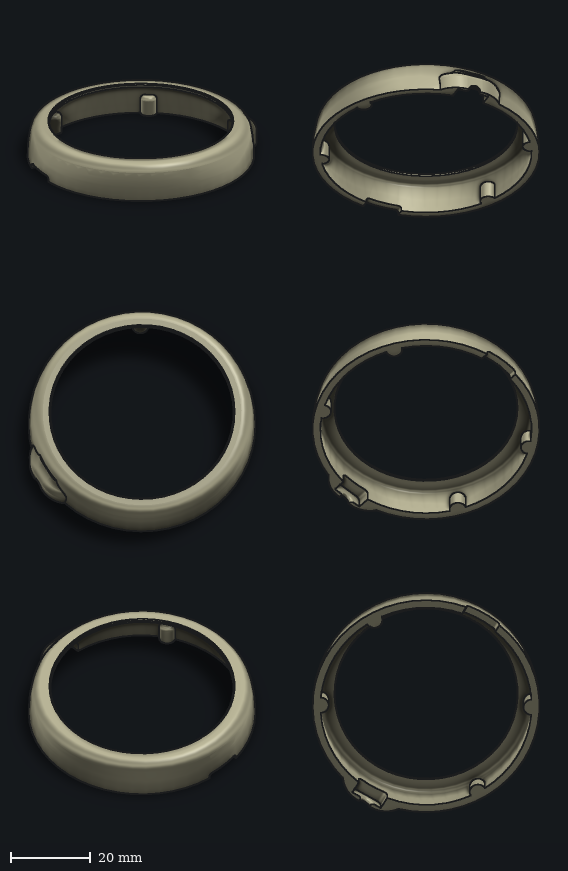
import cadquery as cq
import math

outer_radius = 28.525
height = 9.5
side_arc_radius = 32.45
edge_round = 2.8
wall_radius = 26.55
lip_radius = 23.0
lip_thickness = 0.9
lip_chamfer = 0.3
cavity_round = 1.2

boss_reach = 30.5
boss_flat_half = 2.05
boss_end_radius = 7.4
boss_edge_height = 3.55
boss_bend_inset = 1.25
boss_bend_height = 5.25
boss_top_inset = 2.6
boss_top_height = 7.0
boss_convex_point = (0.4, 4.6)
boss_concave_point = (2.05, 5.95)

pocket_half_width = 4.15
pocket_start = 24.8
pocket_height = 3.4
pocket_depth_end = 29.4
pocket_round = 1.2
hole_radius = 1.5
hole_flare = 0.8
hole_mouth = pocket_depth_end

notch_half_width = 4.8
notch_height = 1.4
notch_round = 0.8

cut_margin = 0.6

pin_radius = 2.05
pin_height = 5.0
pin_tip_radius = 1.0
pin_trim_radius = 27.45
pin_angles = (30, 150, 210, 330)


def outer_body():
    """Solid dome whose side arc runs tangent into the top edge round."""
    side_center = outer_radius - side_arc_radius
    round_z = height - edge_round
    center_gap = side_arc_radius - edge_round
    lean = math.asin(round_z / center_gap)
    round_r = side_center + center_gap * math.cos(lean)

    def side_point(angle):
        return (side_center + side_arc_radius * math.cos(angle), side_arc_radius * math.sin(angle))

    middle = (lean + math.pi / 2) / 2
    round_point = (round_r + edge_round * math.cos(middle), round_z + edge_round * math.sin(middle))
    return (
        cq.Workplane("XZ")
        .lineTo(outer_radius, 0)
        .threePointArc(side_point(lean / 2), side_point(lean))
        .threePointArc(round_point, (round_r, height))
        .lineTo(0, height)
        .close()
        .revolve(360, (0, 0, 0), (0, 1, 0))
    )


def boss_profile(plane, center):
    """Section of the boss, measured outward from the axis of its round ends."""
    end = center + boss_end_radius
    bend = (end - boss_bend_inset, boss_bend_height)
    convex_point = (end - boss_convex_point[0], boss_convex_point[1])
    concave_point = (end - boss_concave_point[0], boss_concave_point[1])
    return (
        cq.Workplane(plane)
        .moveTo(center, 0)
        .lineTo(end, 0)
        .lineTo(end, boss_edge_height)
        .threePointArc(convex_point, bend)
        .threePointArc(concave_point, (end - boss_top_inset, boss_top_height))
        .lineTo(center, boss_top_height)
        .close()
    )


def boss():
    """Straight middle with a revolved round at each end."""
    end_center = boss_reach - boss_end_radius
    body = boss_profile("YZ", end_center).extrude(boss_flat_half, both=True)
    end = boss_profile("XZ", 0).revolve(360, (0, 0, 0), (0, 1, 0))
    for x in (-boss_flat_half, boss_flat_half):
        body = body.union(end.translate((x, end_center, 0)))
    return body


def cavity():
    ceiling = height - lip_thickness
    room = cq.Workplane("XY").circle(wall_radius).extrude(ceiling).faces(">Z").edges().fillet(cavity_round)
    opening = cq.Workplane("XY").circle(lip_radius).extrude(height)
    bevel = (
        cq.Workplane("XY", origin=(0, 0, height - lip_chamfer))
        .circle(lip_radius)
        .workplane(offset=lip_chamfer)
        .circle(lip_radius + lip_chamfer)
        .loft()
    )
    return room.union(opening).union(bevel)


def pins():
    """Round-tipped pins centred on the wall face, trimmed short of the outer face."""
    pin = (
        cq.Workplane("XY")
        .circle(pin_radius)
        .extrude(pin_height)
        .faces(">Z")
        .edges()
        .fillet(pin_radius - pin_tip_radius)
        .translate((wall_radius, 0, 0))
    )
    group = cq.Workplane("XY")
    for angle in pin_angles:
        group = group.add(pin.rotate((0, 0, 0), (0, 0, 1), angle))
    trim = cq.Workplane("XY").circle(pin_trim_radius).extrude(pin_height)
    return group.combine().intersect(trim)


def rounded_recess(half_width, recess_height, corner_round, depth):
    """Block from the XZ plane toward -Y with rounded corners, half of it below the ring."""
    return (
        cq.Workplane("XZ")
        .rect(2 * half_width, 2 * recess_height)
        .extrude(depth)
        .edges("|Y")
        .fillet(corner_round)
    )


def pocket():
    depth = pocket_depth_end - pocket_start
    block = rounded_recess(pocket_half_width, pocket_height, pocket_round, depth)
    return block.translate((0, pocket_depth_end, 0))


def front_notch():
    return rounded_recess(notch_half_width, notch_height, notch_round, outer_radius + cut_margin)


def cable_hole():
    """Half-round channel along Y that flares toward the inside of the ring."""
    flare_end = hole_mouth + hole_flare
    flare_diagonal = hole_flare * math.sqrt(0.5)
    flare_middle = (hole_radius + hole_flare - flare_diagonal, flare_end - flare_diagonal)
    return (
        cq.Workplane("XY")
        .moveTo(0, hole_mouth)
        .lineTo(hole_radius + hole_flare, hole_mouth)
        .threePointArc(flare_middle, (hole_radius, flare_end))
        .lineTo(hole_radius, boss_reach + cut_margin)
        .lineTo(0, boss_reach + cut_margin)
        .close()
        .revolve(360, (0, 0, 0), (0, 1, 0))
    )


result = outer_body().union(boss()).cut(cavity()).union(pins())
result = result.cut(pocket()).cut(cable_hole()).cut(front_notch())